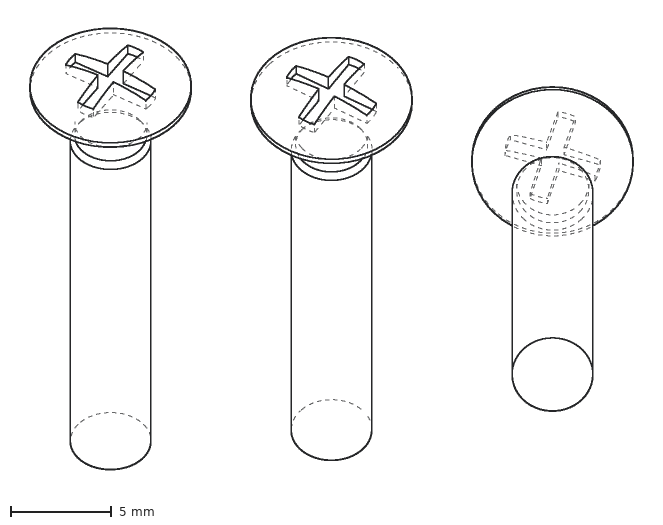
import cadquery as cq
import math

total_length = 25.88
head_radius = 8.0 / 2
shank_radius = 4.0 / 2
neck_radius = 3.57 / 2

shank_top = 21.12
neck_bottom = 21.5
rim_bottom = 24.7
rim_top = 25.0

countersink_bottom = rim_bottom - (head_radius - neck_radius)
neck_fillet_radius = 0.28

slot_width = 0.9
recess_radius = 2.38

corner_radius = slot_width * math.sqrt(0.5)
dome_center = (corner_radius**2 + total_length**2 - head_radius**2 - rim_top**2) / (
    2 * (total_length - rim_top)
)
dome_radius = math.hypot(head_radius, rim_top - dome_center)
dome_apex = dome_center + dome_radius


def dome_height(radius):
    """Height of the dome surface at a distance from the axis."""
    return dome_center + math.sqrt(dome_radius**2 - radius**2)


def make_body():
    """Revolve the half-profile of shank, neck and domed head."""
    mid_radius = head_radius / 2
    body = (
        cq.Workplane("XZ")
        .lineTo(shank_radius, 0)
        .lineTo(shank_radius, shank_top)
        .lineTo(neck_radius, neck_bottom)
        .lineTo(neck_radius, countersink_bottom)
        .lineTo(head_radius, rim_bottom)
        .lineTo(head_radius, rim_top)
        .threePointArc((mid_radius, dome_height(mid_radius)), (0, dome_apex))
        .close()
        .revolve(360, (0, 0), (0, 1))
    )
    neck_corner = cq.selectors.NearestToPointSelector((0, 0, countersink_bottom))
    return body.edges("%CIRCLE").edges(neck_corner).fillet(neck_fillet_radius)


def make_recess():
    """Two crossed slots whose ends are rounded about the screw axis."""
    depth = dome_apex - rim_top
    floor = cq.Workplane("XY").workplane(offset=rim_top)
    slot_length = 2 * recess_radius
    slots = floor.rect(slot_length, slot_width).extrude(depth)
    slots = slots.union(floor.rect(slot_width, slot_length).extrude(depth))
    return slots.intersect(floor.circle(recess_radius).extrude(depth))


result = make_body().cut(make_recess())